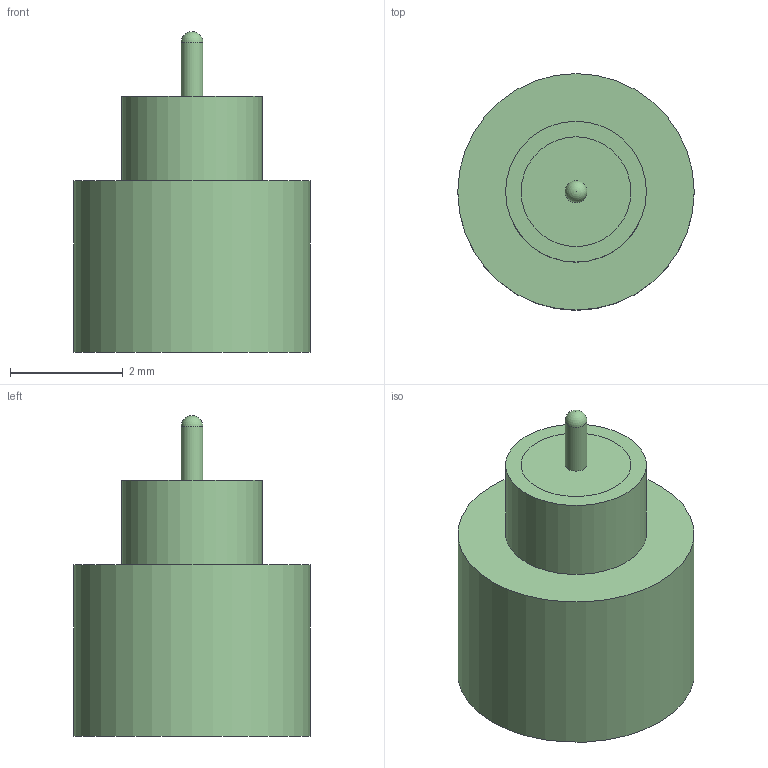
import cadquery as cq

body_diameter = 4.2
body_height = 3.05
collar_diameter = 2.5
collar_height = 1.5
insulator_diameter = 1.95
pin_diameter = 0.39
overall_height = 5.7

collar_top = body_height + collar_height
pin_radius = pin_diameter / 2
pin_length = overall_height - collar_top - pin_radius


def cylinder(diameter, bottom, height):
    """Solid cylinder on the Z axis starting at the given level."""
    return cq.Workplane("XY").workplane(offset=bottom).circle(diameter / 2).extrude(height)


def domed_pin():
    """Contact pin ending in a hemispherical tip."""
    return (
        cq.Workplane("XZ")
        .moveTo(0, collar_top)
        .lineTo(pin_radius, collar_top)
        .lineTo(pin_radius, collar_top + pin_length)
        .radiusArc((0, overall_height), -pin_radius)
        .close()
        .revolve(360, (0, 0, 0), (0, 1, 0))
    )


body = cylinder(body_diameter, 0, body_height)
collar = cylinder(collar_diameter, body_height, collar_height)
insulator = cylinder(insulator_diameter, body_height, collar_height)

result = body.union(collar).union(insulator, clean=False).union(domed_pin(), clean=False)